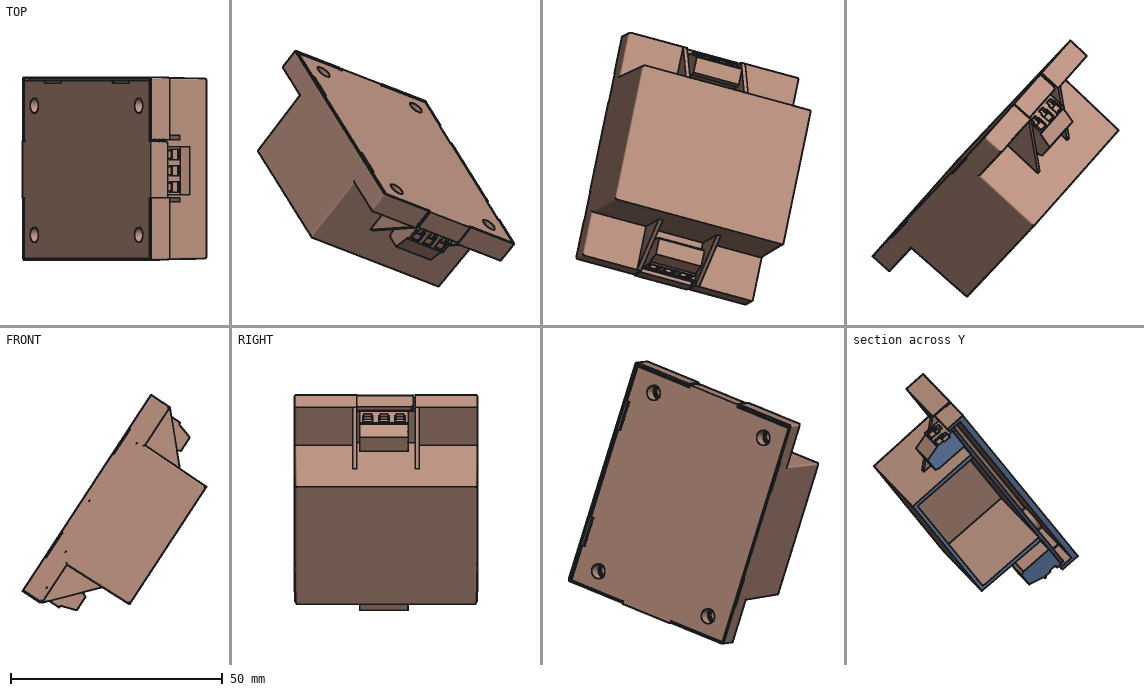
import cadquery as cq

LEAN = 33.2

LENGTH = 55.2
WIDTH = 43.2
FLANGE_DEPTH = 5.35
TOWER_LENGTH = 33.7
TOWER_DEPTH = 22.85
TOWER_END_DRAFT = 0.25
RIM_HEIGHT = 0.85
SIDE_DRAFT = 0.3
EDGE_RADIUS = 0.5
RIM_WALL = 0.45
WALL = 1.0
RIB_FOOT = 15.4
RIB_THICKNESS = 1.0
BAY_WIDTH = 13.7

CATCH_LENGTH = 7.1
CATCH_CENTRES = (-14.6, 14.6)
RIM_CATCH_DEPTH = 0.35
COVER_CATCH_WIDTH = 0.6
COVER_CATCH_DEPTH = 0.5

PLAY = 0.2
COVER_SHIFT_Y = -PLAY
COVER_SHIFT_Z = -PLAY
COVER_THICKNESS = 1.5
TAB_WIDTH = BAY_WIDTH - 2 * PLAY
TAB_THICKNESS = 1.0
TAB_DEPTH = 4.9
TAB_CHAMFER = 0.5
POST_DIAMETER = 6.0
SCREW_HOLE_DIAMETER = 3.5
SCREW_SPACING_Y = 30.5
SCREW_SPACING_Z = 45.0
SCREW_SHIFT_Y = -0.4

BOARD_TOP = FLANGE_DEPTH - WALL
BOARD_THICKNESS = 0.9
BOARD_BOTTOM = BOARD_TOP - BOARD_THICKNESS
BOARD_LENGTH = 52.0
BOARD_WIDTH = 40.0
BOARD_HOLE_DIAMETER = 2.79

POLES = 3
POLE_PITCH = 3.81
BLOCK_WIDTH = POLES * POLE_PITCH
BLOCK_SHIFT_Y = -0.5
BLOCK_END = 26.1
BLOCK_BACK = 20.15
BLOCK_DEPTH = 13.2
LIP_DEPTH = 9.4
LIP_STEP = 0.5
SLOPE_END = 24.4
BACK_CHAMFER_Z = 0.4
BACK_CHAMFER_X = 0.9
ENTRY_SIZE = 2.45
ENTRY_TOP = 8.95
ENTRY_RECESS = 0.4
WIRE_SIZE = 1.8
WIRE_TOP = 7.4
WIRE_RECESS = 0.8


def box(x0, x1, width, z0, z1, y_centre=0.0):
    """A block between two depths and two heights, with the given width about y_centre."""
    return (
        cq.Workplane("XY")
        .box(x1 - x0, width, z1 - z0)
        .translate(((x0 + x1) / 2, y_centre, (z0 + z1) / 2))
    )


def profile_across(points, width, y_centre=0.0):
    """An X-Z outline extruded symmetrically about y_centre."""
    across = cq.Workplane("XZ").polyline(points).close().extrude(width / 2, both=True)
    return across.translate((0, y_centre, 0))


def other_end(body):
    """The mirror image of a body at the opposite end of the module."""
    return body.mirror("XY")


def catch_notch(depth, width, z_centre):
    """A notch sunk from the outer face, one catch long."""
    return box(0, depth, width, z_centre - CATCH_LENGTH / 2, z_centre + CATCH_LENGTH / 2)


def screw_points():
    """Y-Z places of the four screws."""
    return [
        (SCREW_SHIFT_Y + side * SCREW_SPACING_Y / 2, COVER_SHIFT_Z + end * SCREW_SPACING_Z / 2)
        for side in (-1, 1)
        for end in (-1, 1)
    ]


def screw_cylinders(diameter, x0, x1):
    """Four cylinders on the screw axes between two depths."""
    return (
        cq.Workplane("YZ", origin=(x0, 0, 0))
        .pushPoints(screw_points())
        .circle(diameter / 2)
        .extrude(x1 - x0)
    )


def housing_shell():
    """The T-shaped shell with drafted sides and rounded side edges."""
    half = LENGTH / 2
    tower_half = TOWER_LENGTH / 2
    tower_top_half = tower_half - TOWER_END_DRAFT
    outline = [
        (0, -half),
        (FLANGE_DEPTH, -half),
        (FLANGE_DEPTH, -tower_half),
        (TOWER_DEPTH, -tower_top_half),
        (TOWER_DEPTH, tower_top_half),
        (FLANGE_DEPTH, tower_half),
        (FLANGE_DEPTH, half),
        (0, half),
    ]
    top_width = WIDTH - 2 * SIDE_DRAFT
    section = [
        (0, -WIDTH / 2),
        (RIM_HEIGHT, -WIDTH / 2),
        (TOWER_DEPTH, -top_width / 2),
        (TOWER_DEPTH, top_width / 2),
        (RIM_HEIGHT, WIDTH / 2),
        (0, WIDTH / 2),
    ]
    drafted = cq.Workplane("XY").polyline(section).close().extrude(half, both=True)
    shell = profile_across(outline, WIDTH).intersect(drafted)
    side_edges = shell.edges().filter(
        lambda edge: edge.Center().x > RIM_HEIGHT + EDGE_RADIUS and abs(edge.Center().y) > WIDTH / 4
    )
    shell = side_edges.fillet(EDGE_RADIUS)

    rim_recess = box(0, COVER_THICKNESS, WIDTH - 2 * RIM_WALL, RIM_WALL - half, half - RIM_WALL)
    inner_width = top_width - 2 * WALL
    flange_space = box(COVER_THICKNESS, BOARD_TOP, inner_width, WALL - half, half - WALL)
    inner_half = tower_top_half - WALL
    tower_space = box(BOARD_TOP, TOWER_DEPTH - WALL, inner_width, -inner_half, inner_half)
    return shell.cut(rim_recess).cut(flange_space).cut(tower_space)


def bay_ribs():
    """The two triangular ribs beside the terminal bay at the upper end, rooted in the tower wall."""
    root = TOWER_LENGTH / 2 - TOWER_END_DRAFT
    outline = [
        (FLANGE_DEPTH, LENGTH / 2),
        (FLANGE_DEPTH, root),
        (RIB_FOOT, root),
    ]
    offset = (BAY_WIDTH + RIB_THICKNESS) / 2
    left = profile_across(outline, RIB_THICKNESS, -offset)
    right = profile_across(outline, RIB_THICKNESS, offset)
    return left.union(right)


def make_housing():
    """The shell with its ribs, open terminal bays and rim notches."""
    housing = housing_shell()
    ribs = bay_ribs()
    bay = box(0, FLANGE_DEPTH, BAY_WIDTH, TOWER_LENGTH / 2, LENGTH / 2)
    housing = housing.union(ribs).union(other_end(ribs)).cut(bay).cut(other_end(bay))
    for centre in CATCH_CENTRES:
        notch = catch_notch(RIM_CATCH_DEPTH, RIM_WALL, centre)
        housing = housing.cut(notch.translate((0, (RIM_WALL - WIDTH) / 2, 0)))
    return housing


def cover_tab():
    """The tab that closes the end of the upper terminal bay."""
    tab = box(0, TAB_DEPTH, TAB_WIDTH, LENGTH / 2 - TAB_THICKNESS, LENGTH / 2)
    return tab.faces(">X").edges(">Y").chamfer(TAB_CHAMFER)


def make_cover():
    """The plate with its end tabs, catch notches and hollow screw posts."""
    plate_width = WIDTH - 2 * (RIM_WALL + PLAY)
    plate_half = LENGTH / 2 - RIM_WALL - PLAY
    cover = box(0, COVER_THICKNESS, plate_width, -plate_half, plate_half)
    tab = cover_tab()
    cover = cover.union(tab).union(other_end(tab))
    for centre in CATCH_CENTRES:
        notch = catch_notch(COVER_CATCH_DEPTH, COVER_CATCH_WIDTH, centre)
        cover = cover.cut(notch.translate((0, (plate_width - COVER_CATCH_WIDTH) / 2, 0)))
    cover = cover.translate((0, COVER_SHIFT_Y, COVER_SHIFT_Z))
    cover = cover.union(screw_cylinders(POST_DIAMETER, COVER_THICKNESS, BOARD_BOTTOM))
    return cover.cut(screw_cylinders(SCREW_HOLE_DIAMETER, 0, BOARD_BOTTOM))


def make_board():
    """The flat board with its four screw holes."""
    board = box(BOARD_BOTTOM, BOARD_TOP, BOARD_WIDTH, -BOARD_LENGTH / 2, BOARD_LENGTH / 2)
    board = board.translate((0, 0, COVER_SHIFT_Z))
    return board.cut(screw_cylinders(BOARD_HOLE_DIAMETER, BOARD_BOTTOM, BOARD_TOP))


def wire_pocket(x_top, size, recess, y_pole):
    """A square pocket sunk into the wire-entry face of the upper block."""
    return box(x_top - size, x_top, size, BLOCK_END - recess, BLOCK_END, y_pole)


def make_terminal_block():
    """The block of the upper bay, standing on the board with its wire entries toward +Z."""
    outline = [
        (BOARD_TOP, BLOCK_BACK),
        (BOARD_TOP, BLOCK_END),
        (LIP_DEPTH, BLOCK_END),
        (LIP_DEPTH, BLOCK_END - LIP_STEP),
        (BLOCK_DEPTH, SLOPE_END),
        (BLOCK_DEPTH, BLOCK_BACK + BACK_CHAMFER_Z),
        (BLOCK_DEPTH - BACK_CHAMFER_X, BLOCK_BACK),
    ]
    block = profile_across(outline, BLOCK_WIDTH, BLOCK_SHIFT_Y)
    for pole in range(POLES):
        y_pole = BLOCK_SHIFT_Y + (pole - (POLES - 1) / 2) * POLE_PITCH
        entry = wire_pocket(ENTRY_TOP, ENTRY_SIZE, ENTRY_RECESS, y_pole)
        wire = wire_pocket(WIRE_TOP, WIRE_SIZE, WIRE_RECESS, y_pole)
        block = block.cut(entry).cut(wire)
    return block


def leaned(body):
    """The body's solid, turned from upright to its final position."""
    return body.rotate((0, 0, 0), (0, 1, 0), LEAN).val()


upper_block = make_terminal_block()
terminal_blocks = [
    block.translate((0, 0, COVER_SHIFT_Z)) for block in (upper_block, other_end(upper_block))
]
bodies = [make_housing(), make_cover(), make_board(), *terminal_blocks]
result = cq.Compound.makeCompound([leaned(body) for body in bodies])